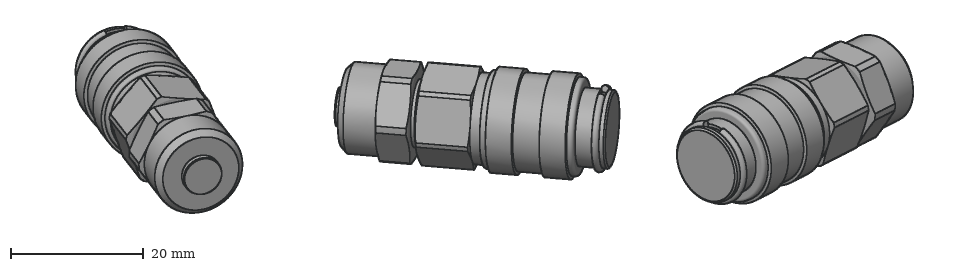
import cadquery as cq
import math

LENGTH = 42.15

PLUG_D = 12.0
PLUG_FACE_D = 11.4
GROOVE_D = 11.0
SLEEVE_D = 15.1
COLLAR_D = 16.15
BODY_D = 14.0
UNDERCUT_D = 10.4
UNDERCUT_START_D = 11.0
NUT_END_D = 12.1
TUBE_D = 6.05
TUBE_END_D = 5.9

PLUG_CHAMFER_END = 0.25
GROOVE_START = 0.93
GROOVE_WIDTH = 1.15
SLEEVE_START = 4.6
FIRST_COLLAR_START = 5.6
COLLAR_WIDTH = 4.2
COLLAR_SPACING = 8.25
COLLAR_COUNT = 2
SLEEVE_END = 19.05
BODY_HEX_START = 20.55
BODY_HEX_END = 28.95
UNDERCUT_START = 29.45
NUT_HEX_START = 30.0
NUT_HEX_END = 35.1
NUT_CHAMFER_START = 40.05
NUT_END = 41.05
TUBE_CHAMFER_START = 41.95

SLEEVE_FILLET = 0.5
COLLAR_BEVEL = 0.13
HEX_BEVEL = 0.2

HEX_SIDES = 6
HEX_FLATS = BODY_D
BODY_HEX_CORNER_D = 15.72
NUT_HEX_CORNER_D = 15.55
BODY_HEX_TURN = 11.7
NUT_HEX_TURN = -3.5

WIRE_D = GROOVE_WIDTH
RING_GAP_ANGLE = 30.0
RING_GAP_TURN = 2.8


def turned(profile):
    """Solid of revolution about X from (x, diameter) points of the outer outline."""
    first_x = profile[0][0]
    last_x = profile[-1][0]
    outline = [(first_x, 0)] + [(x, d / 2) for x, d in profile] + [(last_x, 0)]
    return cq.Workplane("XY").polyline(outline).close().revolve(360, (0, 0, 0), (1, 0, 0))


def make_core():
    """Plug with its ring groove, the neck, the undercut, the nut's round end and the tube."""
    groove_end = GROOVE_START + GROOVE_WIDTH
    return turned([
        (0, PLUG_FACE_D),
        (PLUG_CHAMFER_END, PLUG_D),
        (GROOVE_START, PLUG_D),
        (GROOVE_START, GROOVE_D),
        (groove_end, GROOVE_D),
        (groove_end, PLUG_D),
        (SLEEVE_START, PLUG_D),
        (SLEEVE_START, BODY_D),
        (BODY_HEX_END, BODY_D),
        (BODY_HEX_END, UNDERCUT_START_D),
        (UNDERCUT_START, UNDERCUT_D),
        (NUT_HEX_START, UNDERCUT_D),
        (NUT_HEX_START, BODY_D),
        (NUT_CHAMFER_START, BODY_D),
        (NUT_END, NUT_END_D),
        (NUT_END, TUBE_D),
        (TUBE_CHAMFER_START, TUBE_D),
        (LENGTH, TUBE_END_D),
    ])


def make_sleeve():
    """Release sleeve with rounded ends."""
    sleeve = turned([(SLEEVE_START, SLEEVE_D), (SLEEVE_END, SLEEVE_D)])
    return sleeve.faces("<X or >X").edges().fillet(SLEEVE_FILLET)


def make_collar(start):
    """Raised grip collar whose shoulders slope slightly down to the sleeve."""
    end = start + COLLAR_WIDTH
    return turned([
        (start, SLEEVE_D),
        (start + COLLAR_BEVEL, COLLAR_D),
        (end - COLLAR_BEVEL, COLLAR_D),
        (end, SLEEVE_D),
    ])


def make_hexagon(start, end, corner_d, turn):
    """Wrench hexagon with corners turned to corner_d and both ends bevelled to the flats."""
    sharp_corner_d = HEX_FLATS / math.cos(math.pi / HEX_SIDES)
    prism = (
        cq.Workplane("YZ", origin=(start, 0, 0))
        .polygon(HEX_SIDES, sharp_corner_d)
        .extrude(end - start)
        .rotate((0, 0, 0), (1, 0, 0), -turn)
    )
    envelope = turned([
        (start, HEX_FLATS),
        (start + HEX_BEVEL, corner_d),
        (end - HEX_BEVEL, corner_d),
        (end, HEX_FLATS),
    ])
    return prism.intersect(envelope)


def make_coupling():
    coupling = make_core().union(make_sleeve())
    for index in range(COLLAR_COUNT):
        coupling = coupling.union(make_collar(FIRST_COLLAR_START + index * COLLAR_SPACING))
    body_hex = make_hexagon(BODY_HEX_START, BODY_HEX_END, BODY_HEX_CORNER_D, BODY_HEX_TURN)
    nut_hex = make_hexagon(NUT_HEX_START, NUT_HEX_END, NUT_HEX_CORNER_D, NUT_HEX_TURN)
    return coupling.union(body_hex).union(nut_hex)


def make_snap_ring():
    """Open ring of round wire resting on the floor of the plug groove."""
    wire_x = GROOVE_START + GROOVE_WIDTH / 2
    wire_radius = (GROOVE_D + WIRE_D) / 2
    ring = (
        cq.Workplane("XZ")
        .center(wire_x, wire_radius)
        .circle(WIRE_D / 2)
        .revolve(360 - RING_GAP_ANGLE, (0, -wire_radius, 0), (1, -wire_radius, 0))
    )
    return ring.rotate((0, 0, 0), (1, 0, 0), RING_GAP_TURN + RING_GAP_ANGLE / 2)


coupling = make_coupling()
snap_ring = make_snap_ring()

result = cq.Compound.makeCompound([coupling.val(), snap_ring.val()])